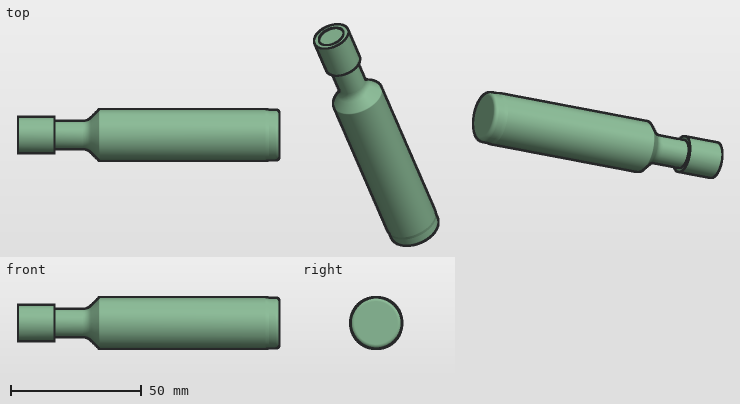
import cadquery as cq
import math

LENGTH = 100.0
HEAD_DIAMETER = 14.0
HEAD_LENGTH = 14.0
NECK_DIAMETER = 11.0
NECK_END = 25.0
NECK_FILLET_RADIUS = 4.0
GRIP_DIAMETER = 20.0
SHOULDER_ANGLE = math.radians(45)
SHOULDER_FILLET_RADIUS = 0.5
TAPER_START = 94.7
TAPER_END = 96.0
TAIL_DIAMETER = 19.5
TAIL_FILLET_RADIUS = 1.5

INSERT_DIAMETER = 10.0
INSERT_DEPTH = 10.0
INSERT_FILLET_RADIUS = 0.5


def point_on_circle(center, radius, angle):
    """Return the point at the given angle, counted from the +X direction."""
    return (center[0] + radius * math.cos(angle), center[1] + radius * math.sin(angle))


def make_handle():
    """Revolve the stepped outline about X, then bore the seat of the insert."""
    head_radius = HEAD_DIAMETER / 2
    neck_radius = NECK_DIAMETER / 2
    grip_radius = GRIP_DIAMETER / 2
    tail_radius = TAIL_DIAMETER / 2
    quarter_turn = math.pi / 2

    neck_center = (NECK_END, neck_radius + NECK_FILLET_RADIUS)
    neck_arc_middle = point_on_circle(
        neck_center, NECK_FILLET_RADIUS, SHOULDER_ANGLE / 2 - quarter_turn)
    shoulder_start = point_on_circle(
        neck_center, NECK_FILLET_RADIUS, SHOULDER_ANGLE - quarter_turn)

    corner_x = shoulder_start[0] + (grip_radius - shoulder_start[1]) / math.tan(SHOULDER_ANGLE)
    grip_start = corner_x + SHOULDER_FILLET_RADIUS * math.tan(SHOULDER_ANGLE / 2)
    shoulder_center = (grip_start, grip_radius - SHOULDER_FILLET_RADIUS)
    shoulder_end = point_on_circle(
        shoulder_center, SHOULDER_FILLET_RADIUS, quarter_turn + SHOULDER_ANGLE)
    shoulder_arc_middle = point_on_circle(
        shoulder_center, SHOULDER_FILLET_RADIUS, quarter_turn + SHOULDER_ANGLE / 2)

    tail_center = (LENGTH - TAIL_FILLET_RADIUS, tail_radius - TAIL_FILLET_RADIUS)
    tail_arc_middle = point_on_circle(tail_center, TAIL_FILLET_RADIUS, quarter_turn / 2)

    blank = (
        cq.Workplane("XY")
        .moveTo(0, 0)
        .lineTo(0, head_radius)
        .lineTo(HEAD_LENGTH, head_radius)
        .lineTo(HEAD_LENGTH, neck_radius)
        .lineTo(NECK_END, neck_radius)
        .threePointArc(neck_arc_middle, shoulder_start)
        .lineTo(*shoulder_end)
        .threePointArc(shoulder_arc_middle, (grip_start, grip_radius))
        .lineTo(TAPER_START, grip_radius)
        .lineTo(TAPER_END, tail_radius)
        .lineTo(tail_center[0], tail_radius)
        .threePointArc(tail_arc_middle, (LENGTH, tail_center[1]))
        .lineTo(LENGTH, 0)
        .close()
        .revolve(360, (0, 0, 0), (1, 0, 0))
    )
    seat = cq.Workplane("YZ").circle(INSERT_DIAMETER / 2).extrude(INSERT_DEPTH)
    return blank.cut(seat)


def make_insert():
    """Build the disc that fills the seat, with its front rim rounded."""
    disc = cq.Workplane("YZ").circle(INSERT_DIAMETER / 2).extrude(INSERT_DEPTH)
    return disc.faces("<X").edges().fillet(INSERT_FILLET_RADIUS)


handle = make_handle()
insert = make_insert()

result = cq.Compound.makeCompound([handle.val(), insert.val()])